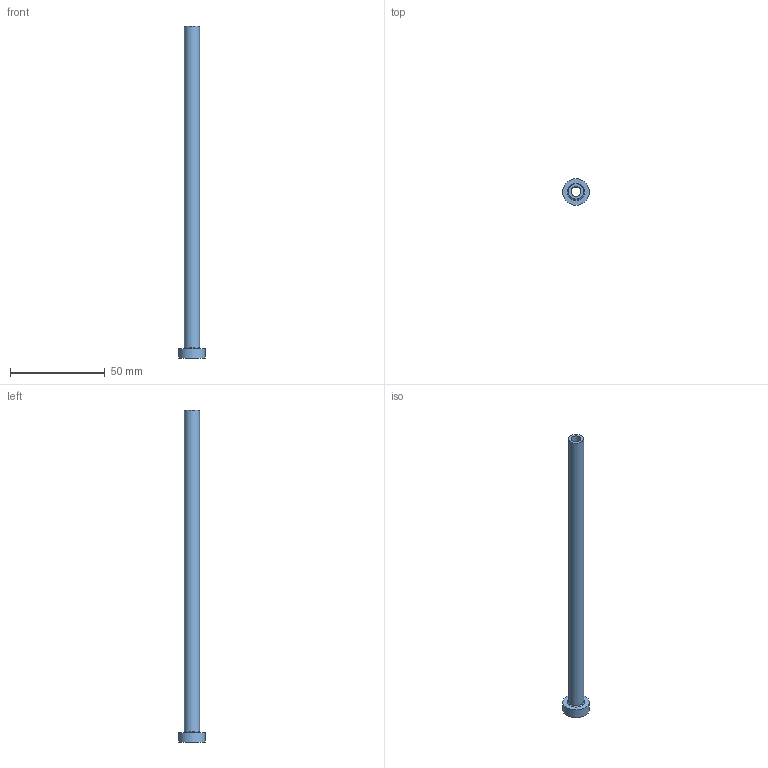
import cadquery as cq

total_length = 175.0
head_diameter = 14.0
head_height = 5.0
shank_diameter = 8.0
bore_diameter = 5.2
neck_fillet_radius = 0.5


def sleeve_profile():
    """Half section in the XZ plane, from the bore wall out to the head rim."""
    bore_radius = bore_diameter / 2
    shank_radius = shank_diameter / 2
    head_radius = head_diameter / 2
    return (
        cq.Workplane("XZ")
        .moveTo(bore_radius, 0)
        .lineTo(head_radius, 0)
        .lineTo(head_radius, head_height)
        .lineTo(shank_radius + neck_fillet_radius, head_height)
        .radiusArc((shank_radius, head_height + neck_fillet_radius), neck_fillet_radius)
        .lineTo(shank_radius, total_length)
        .lineTo(bore_radius, total_length)
        .close()
    )


result = sleeve_profile().revolve(360, (0, 0, 0), (0, 1, 0))